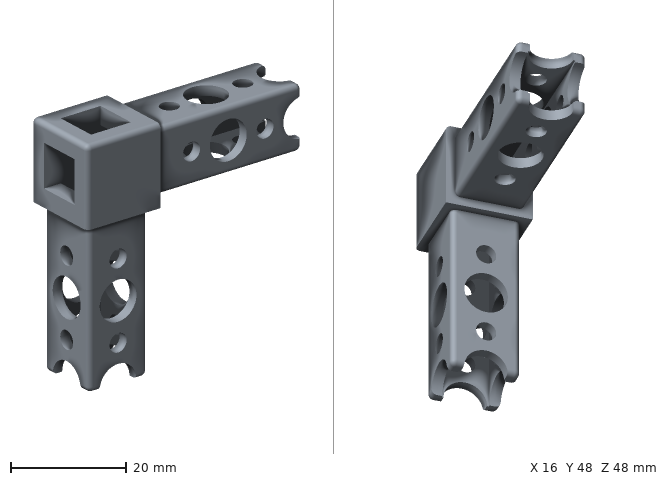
import cadquery as cq

overall_length = 48.0
hub_size = overall_length / 3
arm_width = 12.7
bore_width = 8.7
edge_radius = 1.0
small_hole_diameter = 3.7

hole_pitch = hub_size / 2
large_hole_diameter = hole_pitch

hub_half = hub_size / 2
arm_end = overall_length - hub_half
small_hole_places = [hub_half + hole_pitch, hub_half + 3 * hole_pitch]
large_hole_places = [hub_half + 2 * hole_pitch, arm_end]


def make_hub():
    """Cube with rounded edges on its outer corner, sharp edges where the arms join."""
    hub = cq.Workplane("XY").box(hub_size, hub_size, hub_size)
    rounded_edges = "(|Z and <Y) or (|Y and >Z) or (<Y and >Z)"
    return hub.edges(rounded_edges).fillet(edge_radius)


def make_arm():
    """Downward arm, from the centre of the hub to the free end."""
    arm = (
        cq.Workplane("XY")
        .rect(arm_width, arm_width)
        .extrude(-arm_end)
        .edges("|Z or <Z")
        .fillet(edge_radius)
    )
    for plane in ("XZ", "YZ"):
        for diameter, places in (
            (small_hole_diameter, small_hole_places),
            (large_hole_diameter, large_hole_places),
        ):
            holes = (
                cq.Workplane(plane)
                .pushPoints([(0, -place) for place in places])
                .circle(diameter / 2)
                .extrude(arm_width, both=True)
            )
            arm = arm.cut(holes)
    return arm


def make_bore():
    """Square bore along Z through the hub and the downward arm."""
    return (
        cq.Workplane("XY")
        .workplane(offset=hub_half)
        .rect(bore_width, bore_width)
        .extrude(-overall_length)
    )


def turn_to_back(body):
    """Turn a body about the X axis so that its -Z end points along +Y."""
    return body.rotate((0, 0, 0), (1, 0, 0), 90)


arm = make_arm()
bore = make_bore()
result = (
    make_hub()
    .union(arm)
    .union(turn_to_back(arm))
    .cut(bore)
    .cut(turn_to_back(bore))
)